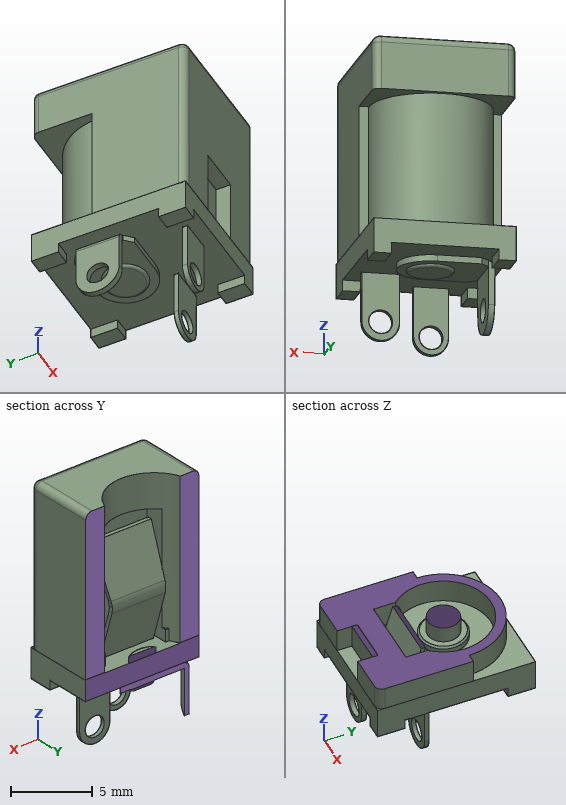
import cadquery as cq
import math


WIDTH = 9.0
DEPTH = 10.7
TOTAL_HEIGHT = 17.6
LUG_DROP = 3.6
BACK_Y = 4.19
TOP_Z = TOTAL_HEIGHT - LUG_DROP
FRONT_Y = BACK_Y - DEPTH

BASE_TOP_Z = 2.2
ROOF_Z = 0.69
FOOT_X = 1.1
FOOT_Y = 1.87

EDGE_RADIUS = 0.5
BORE_DIAMETER = 6.4
BARREL_RADIUS = 3.89
BARREL_TOP_Z = 10.52
WINDOW_WIDTH = 3.01
WINDOW_TOP_Z = 6.7
WINDOW_DEPTH = 1.0
CAVITY_HALF_WIDTH = 2.38
CAVITY_FRONT_Y = -3.63
CAVITY_TOP_Z = 11.44
LEDGE_Y = -1.81
LEDGE_HEIGHT = 0.88

PIN_DIAMETER = 2.15
DOME_DIAMETER = 2.0
PIN_RECESS = 1.35
PIN_TOP_Z = TOP_Z - PIN_RECESS
COLLAR_DIAMETER = 3.2
COLLAR_HEIGHT = 0.5
COLLAR_CHAMFER = 0.12
SHANK_DIAMETER = 1.8
RIVET_DIAMETER = 3.0
RIVET_HEIGHT = 0.2

LUG_HOLE_DIAMETER = 1.5

PLATE_THICKNESS = 0.4
PLATE_HALF_WIDTH = 2.1
PLATE_CHAMFER = 0.53
PIN_LUG_WIDTH = 3.01
PIN_LUG_SHOULDER = 0.07
PIN_LUG_OUTER_X = -3.73

SWITCH_THICKNESS = 0.35
SWITCH_FRONT_Y = FRONT_Y + WINDOW_DEPTH
SWITCH_LUG_WIDTH = 2.2
SWITCH_LUG_X = -1.2

SPRING_THICKNESS = 0.3
SPRING_FOOT_Y = -2.68
SPRING_LUG_WIDTH = 2.4
SPRING_LUG_X = 2.53
SPRING_FOOT_HEIGHT = 0.88
LEAF_CONTACT_Y = -1.39
LEAF_CONTACT_Z = 6.34
LEAF_TIP_Y = -3.17
LEAF_FLARE_ANGLE = 66.0
LEAF_BEND_RADIUS = 1.23
LEAF_HALF_WIDTH = 2.11
LEAF_TIP_HALF_WIDTH = 2.34
LEAF_TIP_Z = LEAF_CONTACT_Z + (LEAF_CONTACT_Y - LEAF_TIP_Y) * math.tan(math.radians(LEAF_FLARE_ANGLE))


def block(x_min, x_max, y_min, y_max, z_min, z_max):
    """Axis-aligned box between the given limits."""
    size = (x_max - x_min, y_max - y_min, z_max - z_min)
    return cq.Workplane("XY").box(*size, centered=False).translate((x_min, y_min, z_min))


def cylinder(diameter, z_min, z_max):
    """Cylinder on the barrel axis."""
    return cq.Workplane("XY", origin=(0, 0, z_min)).circle(diameter / 2).extrude(z_max - z_min)


def make_lug(width, top_z, thickness):
    """Round-ended solder lug centered on X = 0, its front face at Y = 0 and its body toward +Y."""
    radius = width / 2
    eye_z = radius - LUG_DROP
    return (
        cq.Workplane("XZ")
        .moveTo(-radius, top_z)
        .lineTo(-radius, eye_z)
        .threePointArc((0, -LUG_DROP), (radius, eye_z))
        .lineTo(radius, top_z)
        .close()
        .moveTo(0, eye_z)
        .circle(LUG_HOLE_DIAMETER / 2)
        .extrude(-thickness)
    )


def make_pin_terminal():
    """Plate riveted under the base, round at +X and bent down into a lug at -X."""
    inner_x = PIN_LUG_OUTER_X + PLATE_THICKNESS
    lug_half = PIN_LUG_WIDTH / 2
    shoulder_half = lug_half + PIN_LUG_SHOULDER
    bottom_z = ROOF_Z - PLATE_THICKNESS
    plate = (
        cq.Workplane("XY", origin=(0, 0, bottom_z))
        .moveTo(0, PLATE_HALF_WIDTH)
        .threePointArc((PLATE_HALF_WIDTH, 0), (0, -PLATE_HALF_WIDTH))
        .lineTo(inner_x + PLATE_CHAMFER, -PLATE_HALF_WIDTH)
        .lineTo(inner_x, -shoulder_half)
        .lineTo(inner_x, shoulder_half)
        .lineTo(inner_x + PLATE_CHAMFER, PLATE_HALF_WIDTH)
        .close()
        .extrude(PLATE_THICKNESS)
    )
    lug = (
        make_lug(PIN_LUG_WIDTH, bottom_z, PLATE_THICKNESS)
        .rotate((0, 0, 0), (0, 0, 1), -90)
        .translate((PIN_LUG_OUTER_X, 0, 0))
    )
    bend = (
        cq.Workplane("XZ", origin=(inner_x, lug_half, bottom_z))
        .lineTo(0, PLATE_THICKNESS)
        .radiusArc((-PLATE_THICKNESS, 0), -PLATE_THICKNESS)
        .close()
        .extrude(PIN_LUG_WIDTH)
    )
    return plate.union(bend).union(lug).cut(cylinder(SHANK_DIAMETER, bottom_z, ROOF_Z))


def make_pin():
    """Domed center pin with a collar on the base and a rivet head under the pin terminal."""
    plate_bottom_z = ROOF_Z - PLATE_THICKNESS
    dome_radius = DOME_DIAMETER / 2
    dome_z = PIN_TOP_Z - dome_radius
    step = (PIN_DIAMETER - DOME_DIAMETER) / 2
    collar = cylinder(COLLAR_DIAMETER, BASE_TOP_Z, BASE_TOP_Z + COLLAR_HEIGHT)
    collar = collar.faces(">Z").chamfer(COLLAR_CHAMFER)
    post = cylinder(PIN_DIAMETER, BASE_TOP_Z, dome_z).faces(">Z").chamfer(step)
    dome = cq.Workplane("XY", origin=(0, 0, dome_z)).sphere(dome_radius)
    shank = cylinder(SHANK_DIAMETER, plate_bottom_z, BASE_TOP_Z)
    rivet = (
        cq.Workplane("XZ", origin=(0, 0, plate_bottom_z))
        .lineTo(RIVET_DIAMETER / 2, 0)
        .radiusArc((RIVET_DIAMETER / 2 - RIVET_HEIGHT, -RIVET_HEIGHT), RIVET_HEIGHT)
        .lineTo(0, -RIVET_HEIGHT)
        .close()
        .revolve(360, (0, 0), (0, 1))
    )
    return post.union(dome).union(collar).union(shank).union(rivet)


def make_switch_contact():
    """Flat strip that closes the back of the window and passes down through the base as a lug."""
    strip = block(
        -WINDOW_WIDTH / 2, WINDOW_WIDTH / 2,
        SWITCH_FRONT_Y, SWITCH_FRONT_Y + SWITCH_THICKNESS,
        BASE_TOP_Z, WINDOW_TOP_Z,
    )
    lug = make_lug(SWITCH_LUG_WIDTH, BASE_TOP_Z, SWITCH_THICKNESS)
    return strip.union(lug.translate((SWITCH_LUG_X, SWITCH_FRONT_Y, 0)))


def make_spring_contact():
    """Bent leaf: a foot in the base, a slope in to the contact line, then a flare out to the tip."""
    foot_front_y = SPRING_FOOT_Y - SPRING_THICKNESS
    leaf = (
        cq.Workplane("YZ", origin=(-LEAF_TIP_HALF_WIDTH, 0, 0))
        .moveTo(SPRING_FOOT_Y, BASE_TOP_Z)
        .lineTo(LEAF_CONTACT_Y, LEAF_CONTACT_Z)
        .lineTo(LEAF_TIP_Y, LEAF_TIP_Z)
        .lineTo(LEAF_TIP_Y - SPRING_THICKNESS, LEAF_TIP_Z)
        .lineTo(LEAF_CONTACT_Y - SPRING_THICKNESS, LEAF_CONTACT_Z)
        .lineTo(foot_front_y, BASE_TOP_Z)
        .close()
        .extrude(2 * LEAF_TIP_HALF_WIDTH)
    )
    bend_zone = cq.selectors.BoxSelector(
        (-WIDTH, FRONT_Y, LEAF_CONTACT_Z - SPRING_THICKNESS),
        (WIDTH, BACK_Y, LEAF_CONTACT_Z + SPRING_THICKNESS),
    )
    leaf = leaf.edges(bend_zone).edges("|X").fillet(LEAF_BEND_RADIUS)
    outline = (
        cq.Workplane("XZ")
        .polyline([
            (-LEAF_HALF_WIDTH, BASE_TOP_Z),
            (LEAF_HALF_WIDTH, BASE_TOP_Z),
            (LEAF_HALF_WIDTH, LEAF_CONTACT_Z),
            (LEAF_TIP_HALF_WIDTH, LEAF_TIP_Z),
            (-LEAF_TIP_HALF_WIDTH, LEAF_TIP_Z),
            (-LEAF_HALF_WIDTH, LEAF_CONTACT_Z),
        ])
        .close()
        .extrude(-FRONT_Y)
    )
    lug_right_x = SPRING_LUG_X + SPRING_LUG_WIDTH / 2
    foot = block(
        -LEAF_HALF_WIDTH, lug_right_x,
        foot_front_y, SPRING_FOOT_Y,
        BASE_TOP_Z - SPRING_FOOT_HEIGHT, BASE_TOP_Z,
    )
    lug = make_lug(SPRING_LUG_WIDTH, BASE_TOP_Z, SPRING_THICKNESS)
    return leaf.intersect(outline).union(foot).union(lug.translate((SPRING_LUG_X, foot_front_y, 0)))


def make_base(inserts):
    """Rectangular base on four corner feet, with openings for the parts that pass through it."""
    base = block(-WIDTH / 2, WIDTH / 2, FRONT_Y, BACK_Y, 0, BASE_TOP_Z)
    base = base.cut(block(-WIDTH / 2, WIDTH / 2, FRONT_Y + FOOT_Y, BACK_Y - FOOT_Y, 0, ROOF_Z))
    base = base.cut(block(-WIDTH / 2 + FOOT_X, WIDTH / 2 - FOOT_X, FRONT_Y, BACK_Y, 0, ROOF_Z))
    for insert in inserts:
        base = base.cut(insert)
    return base


def make_housing():
    """Rounded box over the base, with the bore, the spring cavity and the front window."""
    shell = block(-WIDTH / 2, WIDTH / 2, FRONT_Y, BACK_Y, BASE_TOP_Z, TOP_Z)
    shell = shell.edges("|Z or >Z").fillet(EDGE_RADIUS)

    back_half = block(-WIDTH / 2, WIDTH / 2, 0, BACK_Y, BASE_TOP_Z, BARREL_TOP_Z)
    shell = shell.cut(back_half.cut(cylinder(2 * BARREL_RADIUS, BASE_TOP_Z, BARREL_TOP_Z)))

    ledge_top_z = BASE_TOP_Z + LEDGE_HEIGHT
    bore = cylinder(BORE_DIAMETER, BASE_TOP_Z, TOP_Z)
    ledges = block(-WIDTH / 2, WIDTH / 2, FRONT_Y, LEDGE_Y, BASE_TOP_Z, ledge_top_z)
    cavity = block(
        -CAVITY_HALF_WIDTH, CAVITY_HALF_WIDTH, CAVITY_FRONT_Y, LEDGE_Y, BASE_TOP_Z, CAVITY_TOP_Z,
    )
    window = block(
        -WINDOW_WIDTH / 2, WINDOW_WIDTH / 2,
        FRONT_Y, SWITCH_FRONT_Y + SWITCH_THICKNESS,
        BASE_TOP_Z, WINDOW_TOP_Z,
    )
    return shell.cut(bore.cut(ledges)).cut(cavity).cut(window)


pin = make_pin()
pin_terminal = make_pin_terminal()
switch_contact = make_switch_contact()
spring_contact = make_spring_contact()
base = make_base([pin, switch_contact, spring_contact])
housing = make_housing()

bodies = [housing, base, pin, pin_terminal, switch_contact, spring_contact]
result = cq.Compound.makeCompound([body.solids().val() for body in bodies])